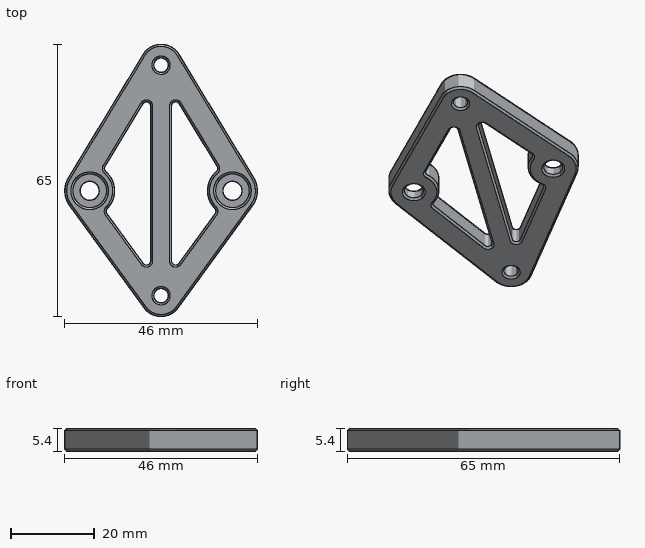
import cadquery as cq
import math

length = 65.0
width = 46.0
thickness = 5.4
edge_chamfer = 0.5

end_radius = 5.0
side_radius = 6.0
end_y = length / 2 - end_radius
side_x = width / 2 - side_radius
side_y = -2.5

bar_width = 5.0
arm_width = 6.1
window_corner_radius = 1.0

end_hole_diameter = 3.4
side_hole_diameter = 4.5
counterbore_diameter = 8.0
counterbore_depth = 2.55

end_centers = [(0, end_y), (0, -end_y)]
side_centers = [(-side_x, side_y), (side_x, side_y)]


def tangent_normal(vertical):
    """Outward unit normal of the straight edge joining a right-hand side corner
    to the upper (vertical = 1) or lower (vertical = -1) end corner."""
    rise = vertical * end_y - side_y
    span = math.hypot(side_x, rise)
    angle = math.atan2(rise, -side_x) - vertical * math.acos((side_radius - end_radius) / span)
    return math.cos(angle), math.sin(angle)


upper_normal = tangent_normal(1)
lower_normal = tangent_normal(-1)


def tangent_point(center, radius, normal):
    return center[0] + radius * normal[0], center[1] + radius * normal[1]


def mirrored(point):
    return -point[0], point[1]


def make_plate():
    """Diamond outline of four arcs joined by their common tangents."""
    top, bottom = end_centers
    right = side_centers[1]
    top_start = tangent_point(top, end_radius, upper_normal)
    right_upper = tangent_point(right, side_radius, upper_normal)
    right_lower = tangent_point(right, side_radius, lower_normal)
    bottom_start = tangent_point(bottom, end_radius, lower_normal)
    return (
        cq.Workplane("XY")
        .moveTo(*top_start)
        .lineTo(*right_upper)
        .threePointArc((width / 2, side_y), right_lower)
        .lineTo(*bottom_start)
        .threePointArc((0, -length / 2), mirrored(bottom_start))
        .lineTo(*mirrored(right_lower))
        .threePointArc((-width / 2, side_y), mirrored(right_upper))
        .lineTo(*mirrored(top_start))
        .threePointArc((0, length / 2), top_start)
        .close()
        .extrude(thickness)
    )


def inner_edge_y(end, normal, x):
    """Height at x of the window edge lying one arm width inside the outer edge."""
    offset = end_radius - arm_width
    return end[1] + (offset - normal[0] * x) / normal[1]


def make_right_window():
    """Triangular opening with a round boss left standing at its outer corner."""
    top, bottom = end_centers
    bar_x = bar_width / 2
    upper_bar = (bar_x, inner_edge_y(top, upper_normal, bar_x))
    lower_bar = (bar_x, inner_edge_y(bottom, lower_normal, bar_x))
    upper_side = (side_x, inner_edge_y(top, upper_normal, side_x))
    lower_side = (side_x, inner_edge_y(bottom, lower_normal, side_x))
    boss = cq.Workplane("XY").pushPoints(side_centers).circle(side_radius).extrude(thickness)
    return (
        cq.Workplane("XY")
        .polyline([upper_bar, upper_side, lower_side, lower_bar])
        .close()
        .extrude(thickness)
        .cut(boss)
        .edges("|Z")
        .fillet(window_corner_radius)
    )


def cut_holes(plate):
    return (
        plate.faces(">Z")
        .workplane(origin=(0, 0, thickness))
        .pushPoints(end_centers)
        .hole(end_hole_diameter)
        .pushPoints(side_centers)
        .cboreHole(side_hole_diameter, counterbore_diameter, counterbore_depth)
    )


right_window = make_right_window()
plate = make_plate().cut(right_window).cut(right_window.mirror("YZ"))
plate = cut_holes(plate)

result = plate.faces(">Z or <Z").edges().chamfer(edge_chamfer)